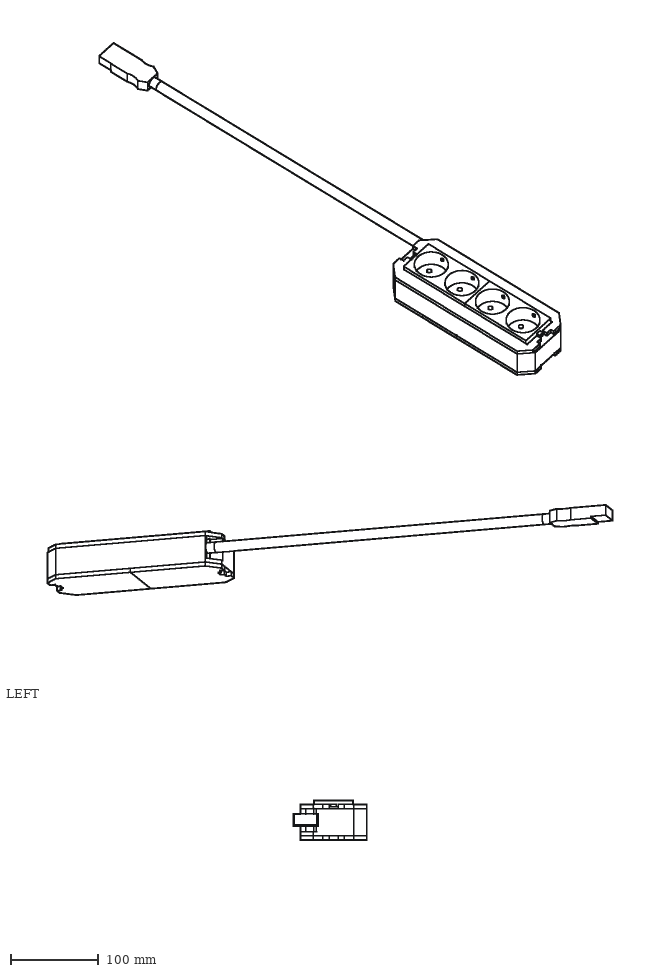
import cadquery as cq
import math


overall_length = 675.5

housing_length = 209.0
housing_width = 76.0
housing_corner = 15.0
plate_thickness = 5.0
shell_height = 31.0
side_wall = 6.0
lid_end_trim = 2.0

cable_diameter = 12.0
sleeve_length = 10.0
sleeve_inset = 4.0
entry_length = 15.0
entry_width = 18.0

insert_length = 90.0
insert_width = 44.5
insert_protrusion = 5.0
insert_clearance = 2.0
sockets_per_insert = 2
socket_diameter = 38.5
socket_depth = 21.0
pin_spacing = 19.0
pin_diameter = 5.5
pin_depth = 7.0
pin_angle = 143.5
contact_diameter = 4.0
contact_depth = 1.0
contact_drop = 9.0
tab_width = 6.0

notch_mouth_width = 24.0
notch_mouth_length = 6.0
notch_slot_width = 10.0
notch_length = 10.0

plug_block_width = 26.5
plug_thickness = 14.0
plug_tip_length = 17.5
plug_tip_relief = 2.0
plug_tip_side_relief = 0.35
plug_block_length = 42.0
plug_dip_position = 49.0
plug_dip_width = 23.5
plug_bulge_position = 58.0
plug_bulge_width = 28.5
plug_length = 68.0
plug_end_width = 18.0

housing_start = overall_length - housing_length
housing_end = overall_length
housing_center_x = (housing_start + housing_end) / 2
housing_side = cable_diameter / 2
housing_center_y = housing_side - housing_width / 2

housing_height = shell_height + 2 * plate_thickness
base_bottom = -(housing_height + insert_protrusion) / 2
shell_bottom = base_bottom + plate_thickness
shell_floor = shell_bottom + plate_thickness
shell_top = shell_bottom + shell_height
lid_top = shell_top + plate_thickness
insert_top = lid_top + insert_protrusion

inserts_start = housing_center_x - insert_length
inserts_end = housing_center_x + insert_length
tab_length = inserts_start - housing_start - notch_length
tab_bottom = shell_top + plate_thickness / 2
socket_pitch = insert_length / sockets_per_insert
housing_sleeve_start = housing_start + sleeve_inset
cable_start = plug_length + sleeve_length


def block(x_min, x_max, y_min, y_max, z_min, z_max):
    """Box between two opposite corners."""
    size = (x_max - x_min, y_max - y_min, z_max - z_min)
    return cq.Workplane("XY").box(*size, centered=False).translate((x_min, y_min, z_min))


def centered_block(x_min, x_max, width, z_min, z_max):
    """Box centred across the width of the housing."""
    y_min = housing_center_y - width / 2
    return block(x_min, x_max, y_min, y_min + width, z_min, z_max)


def housing_slab(z_min, z_max):
    """Slab with the chamfered outline of the housing."""
    slab = centered_block(housing_start, housing_end, housing_width, z_min, z_max)
    return slab.edges("|Z").chamfer(housing_corner)


def end_notches(z_min, z_max):
    """T-shaped notches at both ends: a wide mouth followed by a narrow slot."""
    mouth_end = housing_start + notch_mouth_length
    slot_end = housing_start + notch_length
    mouth = centered_block(housing_start, mouth_end, notch_mouth_width, z_min, z_max)
    slot = centered_block(housing_start, slot_end, notch_slot_width, z_min, z_max)
    start_notch = mouth.union(slot)
    end_notch = start_notch.mirror("YZ", (housing_center_x, 0, 0))
    return start_notch.union(end_notch)


def make_shell():
    """Open-topped tray with a cable opening in its -X, +Y corner."""
    shell = housing_slab(shell_bottom, shell_top)
    cavity = centered_block(
        inserts_start, inserts_end, housing_width - 2 * side_wall, shell_floor, shell_top
    )
    entry = block(
        housing_start, housing_start + entry_length,
        housing_side - entry_width, housing_side,
        shell_floor, shell_top,
    )
    return shell.cut(cavity).cut(entry)


def make_lid():
    """Frame around the inserts, notched at both ends and recessed for their tabs."""
    opening = centered_block(
        inserts_start, inserts_end + insert_clearance, insert_width, shell_top, lid_top
    )
    tab_recess = centered_block(
        inserts_start - tab_length, inserts_end + tab_length, notch_slot_width, tab_bottom, lid_top
    )
    trim = centered_block(
        housing_end - lid_end_trim, housing_end, housing_width, shell_top, lid_top
    )
    lid = housing_slab(shell_top, lid_top).cut(opening).cut(tab_recess).cut(trim)
    return lid.cut(end_notches(shell_top, lid_top))


def make_base_half(x_min, x_max):
    """Part of the notched base plate between two X positions."""
    base = housing_slab(base_bottom, shell_bottom).cut(end_notches(base_bottom, shell_bottom))
    return base.intersect(centered_block(x_min, x_max, housing_width, base_bottom, shell_bottom))


def socket_cutter(center_x):
    """Round socket with two pin holes in its floor and an earth contact recess in its +Y wall."""
    socket_floor = insert_top - socket_depth
    cup = (
        cq.Workplane("XY", origin=(center_x, housing_center_y, socket_floor))
        .circle(socket_diameter / 2)
        .extrude(socket_depth)
    )
    pin_x = pin_spacing / 2 * math.cos(math.radians(pin_angle))
    pin_y = pin_spacing / 2 * math.sin(math.radians(pin_angle))
    pins = (
        cq.Workplane("XY", origin=(center_x, housing_center_y, socket_floor))
        .pushPoints([(pin_x, pin_y), (-pin_x, -pin_y)])
        .circle(pin_diameter / 2)
        .extrude(-pin_depth)
    )
    contact = (
        cq.Workplane("XZ", origin=(center_x, housing_center_y, insert_top - contact_drop))
        .circle(contact_diameter / 2)
        .extrude(-(socket_diameter / 2 + contact_depth))
    )
    return cup.union(pins).union(contact)


def make_insert(x_min, tab_x):
    """Double socket insert with a locating tab that starts at tab_x on its outer end."""
    insert = centered_block(x_min, x_min + insert_length, insert_width, shell_floor, insert_top)
    tab = centered_block(tab_x, tab_x + tab_length, tab_width, tab_bottom, lid_top)
    insert = insert.union(tab)
    for index in range(sockets_per_insert):
        insert = insert.cut(socket_cutter(x_min + (index + 0.5) * socket_pitch))
    return insert


def round_length(x_min, x_max):
    """Straight cylinder along the cable axis, its seam on the -Y side."""
    section = cq.Plane(origin=(x_min, 0, 0), xDir=(0, -1, 0), normal=(1, 0, 0))
    return cq.Workplane(section).circle(cable_diameter / 2).extrude(x_max - x_min)


def make_plug():
    """Flat plug with a concave waist, a bulge and a tapered cable end."""
    plug = (
        cq.Workplane("XY", origin=(0, 0, -plug_thickness / 2))
        .moveTo(0, plug_block_width / 2)
        .lineTo(plug_block_length, plug_block_width / 2)
        .threePointArc(
            (plug_dip_position, plug_dip_width / 2), (plug_bulge_position, plug_bulge_width / 2)
        )
        .lineTo(plug_length, plug_end_width / 2)
        .lineTo(plug_length, -plug_end_width / 2)
        .lineTo(plug_bulge_position, -plug_bulge_width / 2)
        .threePointArc(
            (plug_dip_position, -plug_dip_width / 2), (plug_block_length, -plug_block_width / 2)
        )
        .lineTo(0, -plug_block_width / 2)
        .close()
        .extrude(plug_thickness)
    )
    tip_relief = block(
        0, plug_tip_length,
        -plug_block_width / 2, plug_block_width / 2,
        -plug_thickness / 2, -plug_thickness / 2 + plug_tip_relief,
    )
    side_relief = block(
        0, plug_tip_length,
        -plug_block_width / 2, -plug_block_width / 2 + plug_tip_side_relief,
        -plug_thickness / 2, plug_thickness / 2,
    )
    return plug.cut(tip_relief).cut(side_relief)


shell = make_shell()
lid = make_lid()
base_halves = [
    make_base_half(x_min, x_max)
    for x_min, x_max in ((housing_start, housing_center_x), (housing_center_x, housing_end))
]
inserts = [
    make_insert(x_min, tab_x)
    for x_min, tab_x in ((inserts_start, inserts_start - tab_length), (housing_center_x, inserts_end))
]
plug = make_plug()
cable = round_length(cable_start, housing_sleeve_start)
sleeves = [round_length(x_min, x_min + sleeve_length) for x_min in (plug_length, housing_sleeve_start)]

result = cq.Compound.makeCompound(
    [shell.val(), lid.val(), plug.val(), cable.val()]
    + [body.val() for body in base_halves + inserts + sleeves]
)